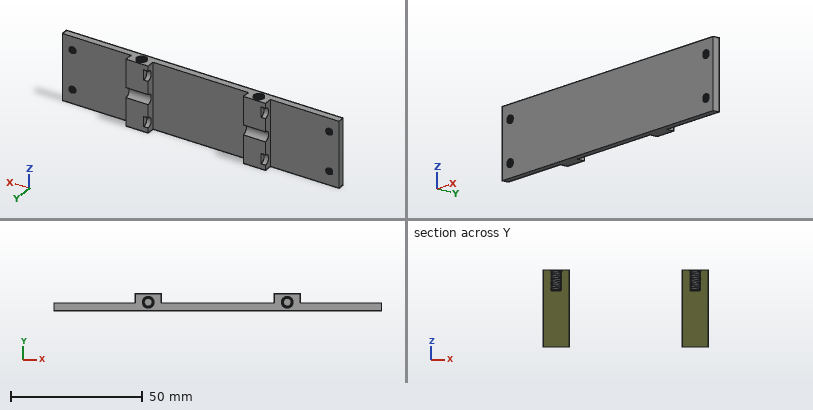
import cadquery as cq

PLATE_LENGTH = 125.0
PLATE_THICKNESS = 3.0
HEIGHT = 29.5

RAIL_DEPTH = 6.5
RAIL_WIDTH = 10.0
RAIL_SPACING = 53.0

SCREW_RELIEF_DIAMETER = 3.4
SCREW_MAJOR_DIAMETER = 3.0
SCREW_MINOR_DIAMETER = 2.5
SCREW_PITCH = 0.5
SCREW_SPACING_X = 116.0
SCREW_SPACING_Z = 17.4

RAIL_RELIEF_DIAMETER = 4.42
RAIL_MAJOR_DIAMETER = 4.0
RAIL_MINOR_DIAMETER = 3.1
RAIL_PITCH = 0.7
RAIL_HOLE_DEPTH = 8.0

RELIEF_DEPTH = 0.3

GROOVE_DIAMETER = 4.42
POCKET_OFFSET_Z = 10.25
POCKET_DEPTH = 2.0

FULL_TURN = 360.0
QUARTER_TURN = FULL_TURN / 4

RAIL_CENTRES = (-RAIL_SPACING / 2, RAIL_SPACING / 2)


def full_height_block(x_centre, width, depth):
    """Block of the full height with its front face at Y = 0."""
    block = cq.Workplane("XY").box(width, depth, HEIGHT)
    return block.translate((x_centre, depth / 2, 0))


def make_body():
    body = full_height_block(0, PLATE_LENGTH, PLATE_THICKNESS)
    for x in RAIL_CENTRES:
        body = body.union(full_height_block(x, RAIL_WIDTH, RAIL_DEPTH))
    return body


def half_round_cutter(x_start, length, z):
    profile = cq.Workplane("YZ", origin=(x_start, RAIL_DEPTH, z)).circle(GROOVE_DIAMETER / 2)
    return profile.extrude(length)


def cut_half_round_recesses(body):
    for x in RAIL_CENTRES:
        x_start = x - RAIL_WIDTH / 2
        body = body.cut(half_round_cutter(x_start, RAIL_WIDTH, 0))
        for z in (-POCKET_OFFSET_Z, POCKET_OFFSET_Z):
            body = body.cut(half_round_cutter(x_start, POCKET_DEPTH, z))
    return body


def thread_cutter(major, minor, pitch, depth):
    """Right-hand threaded core from Z = 0 down to -depth.

    A round section set off the axis reaches the major radius on one side and
    the minor radius on the other, and is twisted one turn per pitch.
    """
    root = (major / 2, 0)
    crest = (-minor / 2, 0)
    mean_radius = (major + minor) / 4
    section = (
        cq.Workplane("XY")
        .moveTo(*root)
        .threePointArc((0, mean_radius), crest)
        .threePointArc((0, -mean_radius), root)
        .close()
    )
    return section.twistExtrude(-depth, FULL_TURN * depth / pitch)


def relief_cutter(diameter):
    """Shallow round recess that gives the thread a clean mouth."""
    return cq.Workplane("XY").circle(diameter / 2).extrude(-RELIEF_DEPTH)


def cut_screw_holes(body):
    thread = thread_cutter(SCREW_MAJOR_DIAMETER, SCREW_MINOR_DIAMETER, SCREW_PITCH, PLATE_THICKNESS)
    relief = relief_cutter(SCREW_RELIEF_DIAMETER)
    for x in (-SCREW_SPACING_X / 2, SCREW_SPACING_X / 2):
        for z in (-SCREW_SPACING_Z / 2, SCREW_SPACING_Z / 2):
            for cutter in (thread, relief):
                into_plate = cutter.rotate((0, 0, 0), (1, 0, 0), QUARTER_TURN)
                body = body.cut(into_plate.translate((x, 0, z)))
    return body


def cut_rail_holes(body):
    thread = thread_cutter(RAIL_MAJOR_DIAMETER, RAIL_MINOR_DIAMETER, RAIL_PITCH, RAIL_HOLE_DEPTH)
    relief = relief_cutter(RAIL_RELIEF_DIAMETER)
    for x in RAIL_CENTRES:
        for cutter in (thread, relief):
            body = body.cut(cutter.translate((x, RAIL_DEPTH / 2, HEIGHT / 2)))
    return body


body = cut_half_round_recesses(make_body())
body = cut_screw_holes(body)
result = cut_rail_holes(body)